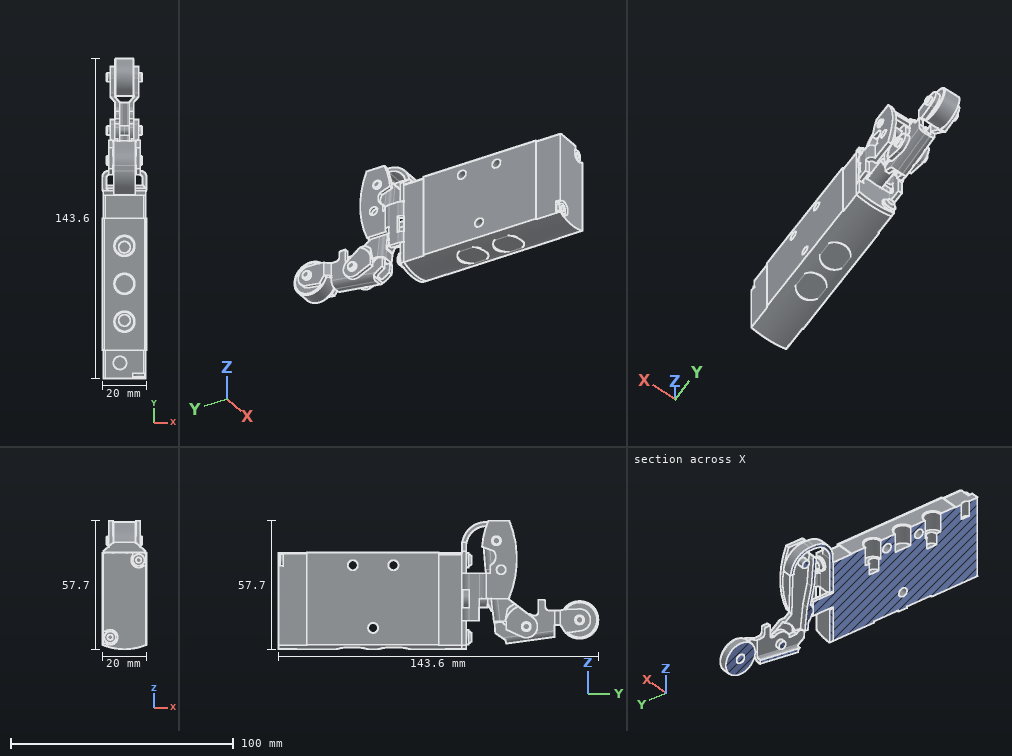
import cadquery as cq
import math


overall_length = 143.59
sheet = 2.0
pivot_y, pivot_z = 97.8, 48.7
hinge_y, hinge_z = 111.2, 10.2
roller_diameter = 17.0
roller_y, roller_z = overall_length - roller_diameter / 2, 13.2
pin_diameter = 4.15
pin_length = 16.2
pin_chamfer = 0.5

arm_half_width = 4.24
arm_inner_half_width = 2.05
fork_half_width = 6.45
cheek_inner_x = 5.1
cheek_outer_x = cheek_inner_x + sheet
lever_half_width = 5.0
lever_inner_half_width = lever_half_width - sheet


def cylinder_along_y(diameter, x, z, start_y, end_y):
    plane = cq.Plane(origin=(x, start_y, z), xDir=(1, 0, 0), normal=(0, 1, 0))
    return cq.Workplane(plane).circle(diameter / 2).extrude(end_y - start_y)


def cylinder_along_x(diameter, y, z, half_length):
    return cq.Workplane("YZ").center(y, z).circle(diameter / 2).extrude(half_length, both=True)


def vertical_bore(diameter, x, y, top, depth):
    return cq.Workplane("XY", origin=(x, y, top - depth)).circle(diameter / 2).extrude(depth)


def block(x_range, y_range, z_range):
    lows = (x_range[0], y_range[0], z_range[0])
    size = (x_range[1] - x_range[0], y_range[1] - y_range[0], z_range[1] - z_range[0])
    return cq.Workplane("XY").box(*size, centered=False).translate(lows)


def plate_pair(profile, inner_x, outer_x):
    """A YZ profile as two plates, mirrored about X = 0."""
    plate = profile.extrude(outer_x - inner_x).translate((inner_x, 0, 0))
    return plate.union(plate.mirror("YZ"))


def point_on_circle(centre, radius, degrees):
    """Point of a YZ circle, with the angle measured from +Y towards +Z."""
    angle = math.radians(degrees)
    return (centre[0] + radius * math.cos(angle), centre[1] + radius * math.sin(angle))


def tangent_point(centre, radius, point, side):
    """Where a line from the point touches the circle; side +1 or -1 picks the tangent."""
    dy, dz = point[0] - centre[0], point[1] - centre[1]
    angle = math.atan2(dz, dy) + side * math.acos(radius / math.hypot(dy, dz))
    return point_on_circle(centre, radius, math.degrees(angle))


def make_pin(y, z):
    return cylinder_along_x(pin_diameter, y, z, pin_length / 2).faces("<X or >X").chamfer(pin_chamfer)


body_half_width = 10.0
body_top = 43.6
cap_half_width = 9.6
cap_top = 43.3
belly_radius = 26.0
body_start_y = 12.7
body_end_y = 72.0
valve_end_y = 82.3
top_edge_width = 0.9
body_edge_height = 0.4
cap_edge_height = 1.0

port_middle_y = 42.5
port_pitch = 17.0
port_diameter = 8.57
port_mouth_diameter = 9.4
port_mouth_depth = (port_mouth_diameter - port_diameter) / 2
port_depth = 10.0
passage_diameter = 5.2
passage_depth = 16.0
passage_pitch = 16.4
spotface_diameter = 14.0
spotface_pitch = 18.8
spotface_top = 0.7

mount_hole_diameter = 4.4
mount_holes = [(33.4, 37.7), (51.6, 37.7), (port_middle_y, 9.6)]

pilot_diameter = 5.92
pilot_x = -2.0
pilot_y = 7.0
pilot_depth = 8.0

screw_places = [(6.4, 40.0), (-6.4, 5.4)]
pocket_diameter = 6.8
pocket_depth = 2.3
pocket_opening = 5.2
head_diameter = 5.2
head_height = 1.5
socket_diameter = 2.46
socket_depth = 1.0
shank_diameter = 3.0
shank_hole_diameter = 3.1
flange_diameter = 6.8
flange_height = 1.0
button_base_diameter = 5.92
button_tip_diameter = 3.9
button_height = 1.4

plunger_diameter = 8.0
plunger_z = 22.7
plunger_end_y = 93.9


def belly_height(x):
    """Height of the rounded underside at a distance x from the middle."""
    return belly_radius - math.sqrt(belly_radius**2 - x**2)


def valve_section(half_width, top, edge_height, start_y, end_y):
    low = belly_height(half_width)
    shoulder = half_width - top_edge_width
    plane = cq.Plane(origin=(0, start_y, 0), xDir=(-1, 0, 0), normal=(0, 1, 0))
    return (
        cq.Workplane(plane)
        .moveTo(half_width, low)
        .lineTo(half_width, top - edge_height)
        .lineTo(shoulder, top)
        .lineTo(-shoulder, top)
        .lineTo(-half_width, top - edge_height)
        .lineTo(-half_width, low)
        .threePointArc((0, 0), (half_width, low))
        .close()
        .extrude(end_y - start_y)
    )


def valve_cap(edge_height, start_y, end_y):
    return valve_section(cap_half_width, cap_top, edge_height, start_y, end_y)


def top_port(y):
    mouth = cq.Solid.makeCone(
        port_diameter / 2,
        port_mouth_diameter / 2,
        port_mouth_depth,
        cq.Vector(0, y, body_top - port_mouth_depth),
    )
    return vertical_bore(port_diameter, 0, y, body_top, port_depth).union(cq.Workplane(mouth))


def screw_pocket(x, z):
    """Round pocket open to the nearer side of the cap; the upper one is open at the top as well."""
    half = pocket_opening / 2
    depth = (0, pocket_depth)
    side = math.copysign(cap_half_width, x)
    pocket = cylinder_along_y(pocket_diameter, x, z, *depth)
    pocket = pocket.union(block(sorted((x, side)), depth, (z - half, z + half)))
    if z > cap_top / 2:
        pocket = pocket.union(block(sorted((x - math.copysign(half, x), side)), depth, (z, cap_top)))
    return pocket


def plain_end_screw(x, z):
    """Socket screw head standing in its pocket."""
    head_start = pocket_depth - head_height
    head = cylinder_along_y(head_diameter, x, z, head_start, pocket_depth)
    return head.cut(cylinder_along_y(socket_diameter, x, z, head_start, head_start + socket_depth))


def bracket_screw(x, z):
    """Flanged button head with the shank that passes through the bracket plate."""
    flange_start = valve_end_y + sheet
    button_start = flange_start + flange_height
    screw = cylinder_along_y(shank_diameter, x, z, valve_end_y, flange_start)
    screw = screw.union(cylinder_along_y(flange_diameter, x, z, flange_start, button_start))
    button = cq.Solid.makeCone(
        button_base_diameter / 2,
        button_tip_diameter / 2,
        button_height,
        cq.Vector(x, button_start, z),
        cq.Vector(0, 1, 0),
    )
    return screw.union(cq.Workplane(button))


def make_valve():
    valve = valve_section(body_half_width, body_top, body_edge_height, body_start_y, body_end_y)
    valve = valve.union(valve_cap(body_edge_height, 0, body_start_y))
    valve = valve.union(valve_cap(cap_edge_height, body_end_y, valve_end_y))

    for step in (-1, 0, 1):
        valve = valve.cut(top_port(port_middle_y + step * port_pitch))
    for step in (-1, 1):
        passage_y = port_middle_y + step * passage_pitch
        valve = valve.cut(vertical_bore(passage_diameter, 0, passage_y, body_top, passage_depth))
        spotface_y = port_middle_y + step * spotface_pitch / 2
        valve = valve.cut(vertical_bore(spotface_diameter, 0, spotface_y, spotface_top, spotface_top))
    for y, z in mount_holes:
        valve = valve.cut(cylinder_along_x(mount_hole_diameter, y, z, body_half_width))
    valve = valve.cut(vertical_bore(pilot_diameter, pilot_x, pilot_y, cap_top, pilot_depth))

    for x, z in screw_places:
        valve = valve.cut(screw_pocket(x, z))
        valve = valve.union(plain_end_screw(x, z)).union(bracket_screw(x, z))
    return valve.union(cylinder_along_y(plunger_diameter, 0, plunger_z, valve_end_y, plunger_end_y))


plate_end_y = valve_end_y + sheet
plate_shoulder_z = 44.0
plate_neck_z = 48.0
arch_half_width = 4.9
arch_top = 57.2
arch_radius = 11.0
arch_flat = 2.3
plunger_clearance_diameter = 9.0
window_start_y = 82.8
window_end_y = 85.7

frame_end_y = 93.3
frame_bottom = 12.7
frame_top = 34.2
frame_bend_radius = 3.1
side_arm_end_y = 90.0

cheek_bottom = 22.7
cheek_top = 57.72
cheek_top_span = (94.2, 103.6)
cheek_front_bulge = (107.0, 40.5)
cheek_bottom_front_y = 103.4
cheek_step_y = 95.1
cheek_step_top = 37.6
cheek_notch = [(96.3, 38.6), (97.5, 41.4), (96.6, 44.1)]
cheek_back_corner = (91.3, 46.0)
cheek_back_bulge = (92.2, 51.8)
cheek_hole_y, cheek_hole_z = 99.9, 35.7


def bracket_plate():
    low = belly_height(cap_half_width)
    plane = cq.Plane(origin=(0, valve_end_y, 0), xDir=(-1, 0, 0), normal=(0, 1, 0))
    plate = (
        cq.Workplane(plane)
        .moveTo(cap_half_width, low)
        .lineTo(cap_half_width, plate_shoulder_z)
        .lineTo(arch_half_width, plate_neck_z)
        .lineTo(-arch_half_width, plate_neck_z)
        .lineTo(-cap_half_width, plate_shoulder_z)
        .lineTo(-cap_half_width, low)
        .threePointArc((0, 0), (cap_half_width, low))
        .close()
        .extrude(sheet)
    )
    bend_start_x = body_half_width - frame_bend_radius
    for x_range in ((-body_half_width, -bend_start_x), (bend_start_x, body_half_width)):
        plate = plate.cut(block(x_range, (valve_end_y, plate_end_y), (frame_bottom, frame_top)))
    return plate


def bracket_arch():
    """Strip that rises from the plate and curls over and down between the cheeks."""
    spring_z = arch_top - arch_radius
    inner_radius = arch_radius - sheet
    near_y = valve_end_y + arch_radius
    far_y = near_y + arch_flat

    def on_arch(centre_y, radius, degrees):
        return point_on_circle((centre_y, spring_z), radius, degrees)

    profile = (
        cq.Workplane("YZ")
        .moveTo(valve_end_y, plate_shoulder_z)
        .lineTo(valve_end_y, spring_z)
        .threePointArc(on_arch(near_y, arch_radius, 135), (near_y, arch_top))
        .lineTo(far_y, arch_top)
        .threePointArc(on_arch(far_y, arch_radius, 45), (far_y + arch_radius, spring_z))
        .lineTo(far_y + inner_radius, spring_z)
        .threePointArc(on_arch(far_y, inner_radius, 45), (far_y, arch_top - sheet))
        .lineTo(near_y, arch_top - sheet)
        .threePointArc(on_arch(near_y, inner_radius, 135), (plate_end_y, spring_z))
        .lineTo(plate_end_y, plate_shoulder_z)
        .close()
    )
    return profile.extrude(arch_half_width, both=True)


def bracket_side_arms():
    """Arms bent forward from the plate sides, then bent inward to meet the cheeks."""
    heights = (frame_bottom, frame_top)
    width = (-body_half_width, body_half_width)
    outer = block(width, (valve_end_y, frame_end_y), heights)
    outer = outer.edges("|Z").fillet(frame_bend_radius)
    inner_x = body_half_width - sheet
    inner = block((-inner_x, inner_x), (plate_end_y, frame_end_y - sheet), heights)
    inner = inner.edges("|Z").fillet(frame_bend_radius - sheet)
    between_cheeks = block((-cheek_inner_x, cheek_inner_x), (plate_end_y, frame_end_y), heights)
    below_cheeks = block(width, (side_arm_end_y, frame_end_y), (frame_bottom, cheek_bottom))
    return outer.cut(inner).cut(between_cheeks).cut(below_cheeks)


def bracket_cheeks():
    notch_start, notch_floor, notch_end = cheek_notch
    top_back_y, top_front_y = cheek_top_span
    profile = (
        cq.Workplane("YZ")
        .moveTo(frame_end_y - sheet, cheek_bottom)
        .lineTo(frame_end_y - sheet, frame_top)
        .lineTo(cheek_step_y, frame_top)
        .lineTo(cheek_step_y, cheek_step_top)
        .lineTo(*notch_start)
        .threePointArc(notch_floor, notch_end)
        .lineTo(*cheek_back_corner)
        .threePointArc(cheek_back_bulge, (top_back_y, cheek_top))
        .lineTo(top_front_y, cheek_top)
        .threePointArc(cheek_front_bulge, (cheek_bottom_front_y, cheek_bottom))
        .close()
    )
    cheeks = plate_pair(profile, cheek_inner_x, cheek_outer_x)
    return cheeks.cut(cylinder_along_x(pin_diameter, cheek_hole_y, cheek_hole_z, cheek_outer_x))


def make_bracket():
    """One bent sheet, with the lever pivot riveted into its cheeks."""
    bracket = bracket_plate().union(bracket_side_arms())
    plunger_radius = plunger_diameter / 2
    bend_windows = block(
        (-body_half_width, body_half_width),
        (window_start_y, window_end_y),
        (plunger_z - plunger_radius, plunger_z + plunger_radius),
    )
    bracket = bracket.cut(bend_windows)
    plate_holes = [(plunger_clearance_diameter, 0, plunger_z)]
    plate_holes += [(shank_hole_diameter, x, z) for x, z in screw_places]
    for diameter, x, z in plate_holes:
        bracket = bracket.cut(cylinder_along_y(diameter, x, z, valve_end_y, plate_end_y))
    bracket = bracket.union(bracket_arch()).union(bracket_cheeks())
    return bracket.union(make_pin(pivot_y, pivot_z))


lever_bottom = 12.4
lever_web = [(91.7, 49.5), (92.8, 35.7), (95.2, 25.0), (96.6, lever_bottom)]
lever_front = (103.5, 22.4)
lever_head_radius = 5.0
lever_head_back_angle = 155
lever_corner_radius = 2.7
nub_half_width = 2.5
nub_profile = [
    (95.7, 25.5),
    (94.6, 25.5),
    (plunger_end_y, 23.5),
    (plunger_end_y, 20.4),
    (95.6, 17.0),
    (96.7, 17.0),
]
ear_radius = 5.0
ear_toe_angle = -30
ear_reach = 9.7
ear_joggle = 1.8
ear_heel = (102.1, 8.9)


def lever_outline():
    """Solid bar that hangs from the pivot, its web rounded along both sides."""
    pivot = (pivot_y, pivot_z)
    ear_line = tangent_point((hinge_y, hinge_z), ear_radius, lever_front, -1)
    profile = (
        cq.Workplane("YZ")
        .polyline(lever_web)
        .lineTo(ear_line[0], lever_bottom)
        .lineTo(*ear_line)
        .lineTo(*lever_front)
        .lineTo(pivot_y + lever_head_radius, pivot_z)
        .threePointArc(
            (pivot_y, pivot_z + lever_head_radius),
            point_on_circle(pivot, lever_head_radius, lever_head_back_angle),
        )
        .close()
    )
    web_top_y, web_top = lever_web[0]
    margin = lever_corner_radius / 2
    web_region = cq.selectors.BoxSelector(
        (-body_half_width, web_top_y - margin, lever_bottom + margin),
        (body_half_width, lever_web[-1][0], web_top),
    )
    outline = profile.extrude(lever_half_width, both=True)
    return outline.edges("not |X").edges(web_region).fillet(lever_corner_radius)


def lever_slot():
    """Inside of the lever channel, open away from the web and at both ends."""
    slot_top = pivot_z + 2 * lever_head_radius
    web_inside = [(y + sheet, z) for y, z in lever_web]
    return (
        cq.Workplane("YZ")
        .polyline(web_inside)
        .lineTo(hinge_y, lever_bottom)
        .lineTo(hinge_y, slot_top)
        .lineTo(web_inside[0][0], slot_top)
        .close()
        .extrude(lever_inner_half_width, both=True)
    )


def lever_nub():
    """Bump on the web that rests on the end of the plunger."""
    return cq.Workplane("YZ").polyline(nub_profile).close().extrude(nub_half_width, both=True)


def lever_ears():
    """Ears around the hinge, stepped outward from the channel sides along a cone."""
    hinge = (hinge_y, hinge_z)
    upper = tangent_point(hinge, ear_radius, lever_front, -1)
    lower = tangent_point(hinge, ear_radius, ear_heel, 1)
    profile = (
        cq.Workplane("YZ")
        .moveTo(*lever_front)
        .lineTo(*upper)
        .threePointArc(point_on_circle(hinge, ear_radius, ear_toe_angle), lower)
        .lineTo(*ear_heel)
        .lineTo(ear_heel[0], lever_bottom)
        .lineTo(lever_front[0] - ear_joggle, lever_bottom)
        .close()
    )
    ears = plate_pair(profile, arm_half_width, fork_half_width)
    step_radius = ear_reach + ear_joggle
    reach = cylinder_along_x(2 * step_radius, hinge_y, hinge_z, lever_half_width)
    for side in (-1, 1):
        cone = cq.Solid.makeCone(
            step_radius,
            ear_reach,
            fork_half_width - lever_half_width,
            cq.Vector(side * lever_half_width, hinge_y, hinge_z),
            cq.Vector(side, 0, 0),
        )
        reach = reach.union(cq.Workplane(cone))
    return ears.intersect(reach)


def make_lever():
    lever = lever_outline().cut(lever_slot()).union(lever_nub())
    around_hinge = cylinder_along_x(2 * ear_reach, hinge_y, hinge_z, lever_half_width)
    lever = lever.cut(around_hinge).union(lever_ears())
    for y, z in ((pivot_y, pivot_z), (hinge_y, hinge_z)):
        lever = lever.cut(cylinder_along_x(pin_diameter, y, z, fork_half_width))
    return lever


arm_web_front = (123.9, 5.5)
arm_web_back = (102.2, 2.5)
arm_web_thickness = 2.2
arm_corner_radius = 2.9
arm_slot_corner_radius = 0.9
arm_hinge_radius = 5.9
arm_hinge_angles = (75, 120, 172)
tail_outline = [
    (101.5, 11.2),
    (100.2, lever_bottom),
    (96.9, 12.0),
    (97.2, 7.3),
    (99.5, 5.7),
    (101.8, 4.1),
    arm_web_back,
]
finger_top = 22.3
finger_front_y, finger_back_y = 119.8, 116.5
finger_tip_radius = 1.0
finger_foot_radius = 1.6
saddle_z = 15.2
saddle_radius = 1.4
saddle_end_y = 114.2
neck_top, neck_bottom = 17.5, 10.9
fork_start_y = 126.4
fork_radius = 4.9
fork_top = (128.2, 17.9)
fork_heel = (128.8, 7.3)


def arm_sides():
    """Outline of the channel between the hinge tail and the fork, with its stop finger."""
    hinge = (hinge_y, hinge_z)
    hinge_start, hinge_mid, hinge_back = (
        point_on_circle(hinge, arm_hinge_radius, angle) for angle in arm_hinge_angles
    )
    foot_centre = (finger_front_y + finger_foot_radius, neck_top + finger_foot_radius)
    tip_centre = (finger_front_y - finger_tip_radius, finger_top - finger_tip_radius)
    saddle_centre = (finger_back_y - saddle_radius, saddle_z + saddle_radius)
    outline = (
        cq.Workplane("YZ")
        .moveTo(*arm_web_front)
        .lineTo(arm_web_front[0], neck_top)
        .lineTo(foot_centre[0], neck_top)
        .threePointArc(
            point_on_circle(foot_centre, finger_foot_radius, 225), (finger_front_y, foot_centre[1])
        )
        .lineTo(finger_front_y, tip_centre[1])
        .threePointArc(point_on_circle(tip_centre, finger_tip_radius, 45), (tip_centre[0], finger_top))
        .lineTo(finger_back_y, finger_top)
        .lineTo(finger_back_y, saddle_centre[1])
        .threePointArc(point_on_circle(saddle_centre, saddle_radius, -45), (saddle_centre[0], saddle_z))
        .lineTo(saddle_end_y, saddle_z)
        .lineTo(*hinge_start)
        .threePointArc(hinge_mid, hinge_back)
    )
    for point in tail_outline:
        outline = outline.lineTo(*point)
    return outline.close().extrude(arm_half_width, both=True)


def bar_along_web(half_width, web_offset, corner_radius):
    """Bar along the sloping web, longer than it at both ends and rounded on its lower edges.

    The bar starts above the underside of the web by the given offset.
    """
    run_y = arm_web_back[0] - arm_web_front[0]
    run_z = arm_web_back[1] - arm_web_front[1]
    run_length = math.hypot(run_y, run_z)
    overshoot = run_length / 2
    height = run_length
    plane = cq.Plane(origin=(0, *arm_web_front), xDir=(1, 0, 0), normal=(0, run_y, run_z))
    bar = (
        cq.Workplane(plane)
        .workplane(offset=-overshoot)
        .center(0, web_offset + height / 2)
        .rect(2 * half_width, height)
        .extrude(run_length + 2 * overshoot)
    )
    along_web = cq.selectors.ParallelDirSelector(cq.Vector(0, run_y, run_z))
    return bar.edges(along_web).edges("<Z").fillet(corner_radius)


def arm_joggles():
    """Slanted strips that step outward from the channel sides to the fork plates."""
    strip = (
        cq.Workplane("XY", origin=(0, 0, neck_bottom))
        .moveTo(arm_half_width, arm_web_front[0])
        .lineTo(fork_half_width, fork_start_y)
        .lineTo(arm_half_width, fork_start_y)
        .lineTo(arm_inner_half_width, arm_web_front[0])
        .close()
        .extrude(neck_top - neck_bottom)
    )
    return strip.union(strip.mirror("YZ"))


def fork_plates():
    roller_centre = (roller_y, roller_z)
    upper = tangent_point(roller_centre, fork_radius, fork_top, -1)
    lower = tangent_point(roller_centre, fork_radius, fork_heel, 1)
    profile = (
        cq.Workplane("YZ")
        .moveTo(fork_start_y, neck_bottom)
        .lineTo(fork_start_y, neck_top)
        .lineTo(*fork_top)
        .lineTo(*upper)
        .threePointArc((roller_y + fork_radius, roller_z), lower)
        .lineTo(*fork_heel)
        .close()
    )
    return plate_pair(profile, arm_half_width, fork_half_width)


def make_arm():
    arm = arm_sides().intersect(bar_along_web(arm_half_width, 0, arm_corner_radius))
    arm = arm.cut(bar_along_web(arm_inner_half_width, arm_web_thickness, arm_slot_corner_radius))
    arm = arm.union(arm_joggles()).union(fork_plates())
    for y, z in ((hinge_y, hinge_z), (roller_y, roller_z)):
        arm = arm.cut(cylinder_along_x(pin_diameter, y, z, fork_half_width))
    return arm


roller_edge_diameter = 16.5
roller_edge_width = 0.7


def make_roller():
    edge_step = (roller_diameter - roller_edge_diameter) / 2
    roller = cylinder_along_x(roller_diameter, roller_y, roller_z, arm_half_width)
    for side in (">X", "<X"):
        roller = roller.faces(side).chamfer(edge_step, roller_edge_width)
    return roller.cut(cylinder_along_x(pin_diameter, roller_y, roller_z, arm_half_width))


valve = make_valve()
bracket = make_bracket()
lever = make_lever()
arm = make_arm()
roller = make_roller()
pins = [make_pin(y, z) for y, z in ((hinge_y, hinge_z), (roller_y, roller_z))]

bodies = [valve, bracket, lever, arm, roller, *pins]
result = cq.Compound.makeCompound([body.val().Solids()[0] for body in bodies])